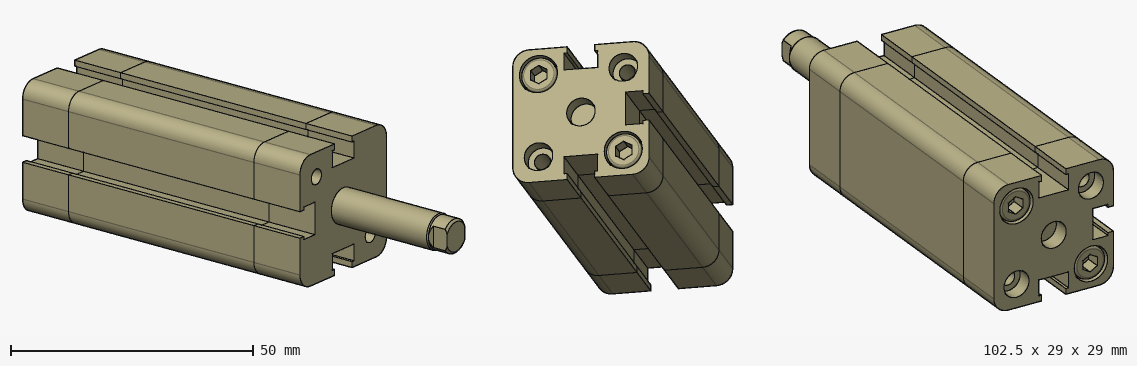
import cadquery as cq

overall_length = 102.5
housing_width = 29.0
corner_radius = 3.5

housing_length = 72.9
cap_length = 12.1
tube_length = housing_length - 2 * cap_length

slot_throat = 5.8
slot_width = 7.2
slot_depth = 5.0
lip_thickness = 1.3
slot_angles = (0, 90, 180)

corner_offset = 9.0
through_hole_places = [(-corner_offset, corner_offset), (corner_offset, -corner_offset)]
screw_places = [(corner_offset, corner_offset), (-corner_offset, -corner_offset)]
through_hole_diameter = 3.4
counterbore_diameter = 6.0
counterbore_depth = 3.5

port_diameter = 6.0
port_depth = 3.9

screw_bore_diameter = 8.1
screw_bore_depth = 4.0
head_diameter = 7.5
head_recess = 0.3
head_round = 0.5
socket_across_flats = 3.5
socket_depth = 3.5

rod_radius = 4.0
tip_radius = 3.8
tip_length = 4.3
shoulder_chamfer_length = 0.3
end_chamfer = 0.5
across_flats = 5.9
flat_length = 3.6
flat_ramp_length = 0.7


def cylinder_along_x(diameter, x_start, length, y=0, z=0):
    return cq.Workplane("YZ", origin=(x_start, y, z)).circle(diameter / 2).extrude(length)


def slot_cutter(length, angle):
    """T-slot open towards +Z, then turned about the X axis by the angle in degrees."""
    floor = cq.Workplane("XY", origin=(0, 0, housing_width / 2 - slot_depth))
    from_rear = (False, True, False)
    throat = floor.box(length, slot_throat, slot_depth, centered=from_rear)
    undercut = floor.box(length, slot_width, slot_depth - lip_thickness, centered=from_rear)
    return throat.union(undercut).rotate((0, 0, 0), (1, 0, 0), angle)


def make_profile(x_start, length):
    """Slotted square section with the through holes, shared by the tube and both caps."""
    profile = (
        cq.Workplane("XY")
        .box(length, housing_width, housing_width, centered=(False, True, True))
        .edges("|X")
        .fillet(corner_radius)
    )
    for angle in slot_angles:
        profile = profile.cut(slot_cutter(length, angle))
    for y, z in through_hole_places:
        profile = profile.cut(cylinder_along_x(through_hole_diameter, 0, length, y, z))
    return profile.translate((x_start, 0, 0))


def make_screw_head(y, z):
    """Round-edged head with a hexagon socket whose corners point along Z."""
    head = cylinder_along_x(head_diameter, head_recess, screw_bore_depth - head_recess, y, z)
    head = head.faces("<X").edges().fillet(head_round)
    socket = (
        cq.Workplane("YZ", origin=(head_recess, y, z))
        .polygon(6, socket_across_flats, circumscribed=True)
        .extrude(socket_depth)
    )
    return head.cut(socket)


def make_rear_cap():
    cap = make_profile(0, cap_length)
    cap = cap.cut(cylinder_along_x(port_diameter, 0, port_depth))
    for y, z in through_hole_places:
        cap = cap.cut(cylinder_along_x(counterbore_diameter, 0, counterbore_depth, y, z))
    for y, z in screw_places:
        cap = cap.cut(cylinder_along_x(screw_bore_diameter, 0, screw_bore_depth, y, z))
        cap = cap.union(make_screw_head(y, z))
    return cap


def make_tube():
    return make_profile(cap_length, tube_length)


def make_front_cap():
    return make_profile(cap_length + tube_length, cap_length)


def flat_cutter():
    """Removes the +Y side of the tip down to the wrench flat, with a sloped run-out."""
    flat_y = across_flats / 2
    flat_start = overall_length - flat_length
    return (
        cq.Workplane("XY")
        .polyline(
            [
                (flat_start - flat_ramp_length, tip_radius),
                (flat_start, flat_y),
                (overall_length, flat_y),
                (overall_length, tip_radius),
            ]
        )
        .close()
        .extrude(rod_radius, both=True)
    )


def make_rod():
    """Rod that starts at the front face of the housing."""
    tip_start = overall_length - tip_length
    rod = (
        cq.Workplane("XZ")
        .moveTo(housing_length, 0)
        .lineTo(housing_length, rod_radius)
        .lineTo(tip_start - shoulder_chamfer_length, rod_radius)
        .lineTo(tip_start, tip_radius)
        .lineTo(overall_length - end_chamfer, tip_radius)
        .lineTo(overall_length, tip_radius - end_chamfer)
        .lineTo(overall_length, 0)
        .close()
        .revolve(360, (0, 0, 0), (1, 0, 0))
    )
    cutter = flat_cutter()
    return rod.cut(cutter).cut(cutter.mirror("XZ"))


rear_cap = make_rear_cap()
tube = make_tube()
front_cap = make_front_cap()
rod = make_rod()

result = cq.Compound.makeCompound([rear_cap.val(), tube.val(), front_cap.val(), rod.val()])